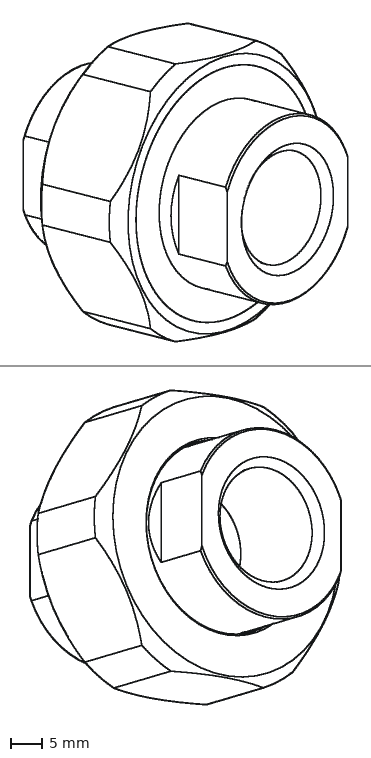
import cadquery as cq

LENGTH = 44.5
BORE_DIAMETER = 18.65
COUNTERSINK_DIAMETER = 21.45
COUNTERSINK_DEPTH = (COUNTERSINK_DIAMETER - BORE_DIAMETER) / 2

SPIGOT_DIAMETER = 31.0
WRENCH_WIDTH = 28.1
END_CHAMFER_LENGTH = 0.35
END_CHAMFER_HEIGHT = 0.3
FLAT_LENGTH = 10.55
FLAT_DEPTH = (SPIGOT_DIAMETER - WRENCH_WIDTH) / 2
TAIL_FLAT_RUNOUT = FLAT_DEPTH
THREADED_FLAT_RUNOUT = 0.4

NUT_START = 11.9
NUT_LENGTH = 19.05
NUT_END = NUT_START + NUT_LENGTH
NUT_ACROSS_FLATS = 46.0
NUT_CORNER_DIAMETER = 49.65
NUT_FACE_DIAMETER = 45.5
NUT_CHAMFER_LENGTH = 2.15
NUT_HOLE_DIAMETER = 31.5
NUT_HOLE_CHAMFER = 0.3
NUT_THREAD_DIAMETER = 41.8
NUT_LIP_LENGTH = 3.95

FLANGE_START = NUT_START + NUT_LIP_LENGTH
FLANGE_LENGTH = 3.95
JOINT = FLANGE_START + FLANGE_LENGTH


def revolve_profile(points):
    """Revolve a closed outline of (x, radius) points about the X axis."""
    return cq.Workplane("XY").polyline(points).close().revolve(360, (0, 0, 0), (1, 0, 0))


def cylinder(start, length, diameter):
    return cq.Workplane("YZ", origin=(start, 0, 0)).circle(diameter / 2).extrude(length)


def cut_wrench_flats(body, runout):
    """Cut two opposite flats that start at x = 0 and slope out to the spigot surface."""
    inner = WRENCH_WIDTH / 2
    outer = SPIGOT_DIAMETER / 2
    section = [
        (0, inner),
        (FLAT_LENGTH, inner),
        (FLAT_LENGTH + runout, outer),
        (0, outer),
    ]
    cutter = cq.Workplane("XY").polyline(section).close().extrude(outer, both=True)
    return body.cut(cutter).cut(cutter.mirror("XZ"))


def make_piece(length, flange_start, flange_length, runout):
    """A bored spigot with its open end at x = 0 and a round flange near its inner end."""
    radius = SPIGOT_DIAMETER / 2
    bore_radius = BORE_DIAMETER / 2
    spigot = revolve_profile([
        (0, COUNTERSINK_DIAMETER / 2),
        (0, radius - END_CHAMFER_HEIGHT),
        (END_CHAMFER_LENGTH, radius),
        (length, radius),
        (length, bore_radius),
        (COUNTERSINK_DEPTH, bore_radius),
    ])
    spigot = cut_wrench_flats(spigot, runout)
    flange = cylinder(flange_start, flange_length, NUT_THREAD_DIAMETER)
    flange = flange.cut(cylinder(flange_start, flange_length, BORE_DIAMETER))
    return spigot.union(flange)


def make_tail_piece():
    return make_piece(JOINT, FLANGE_START, FLANGE_LENGTH, TAIL_FLAT_RUNOUT)


def make_threaded_piece():
    """Built with its open end at x = 0, then turned round to face +X."""
    piece = make_piece(LENGTH - JOINT, LENGTH - NUT_END, NUT_END - JOINT, THREADED_FLAT_RUNOUT)
    return piece.rotate((0, 0, 0), (0, 0, 1), 180).translate((LENGTH, 0, 0))


def make_nut():
    hexagon = (
        cq.Workplane("YZ", origin=(NUT_START, 0, 0))
        .polygon(6, NUT_ACROSS_FLATS, circumscribed=True)
        .extrude(NUT_LENGTH)
        .rotate((0, 0, 0), (1, 0, 0), 90)
    )
    face_radius = NUT_FACE_DIAMETER / 2
    corner_radius = NUT_CORNER_DIAMETER / 2
    rounded_corners = revolve_profile([
        (NUT_START, 0),
        (NUT_START, face_radius),
        (NUT_START + NUT_CHAMFER_LENGTH, corner_radius),
        (NUT_END - NUT_CHAMFER_LENGTH, corner_radius),
        (NUT_END, face_radius),
        (NUT_END, 0),
    ])
    hole_radius = NUT_HOLE_DIAMETER / 2
    thread_radius = NUT_THREAD_DIAMETER / 2
    opening = revolve_profile([
        (NUT_START, 0),
        (NUT_START, hole_radius + NUT_HOLE_CHAMFER),
        (NUT_START + NUT_HOLE_CHAMFER, hole_radius),
        (FLANGE_START, hole_radius),
        (FLANGE_START, thread_radius),
        (NUT_END, thread_radius),
        (NUT_END, 0),
    ])
    return hexagon.intersect(rounded_corners).cut(opening)


tail_piece = make_tail_piece()
threaded_piece = make_threaded_piece()
nut = make_nut()

result = cq.Compound.makeCompound([
    tail_piece.solids().val(),
    threaded_piece.solids().val(),
    nut.solids().val(),
])